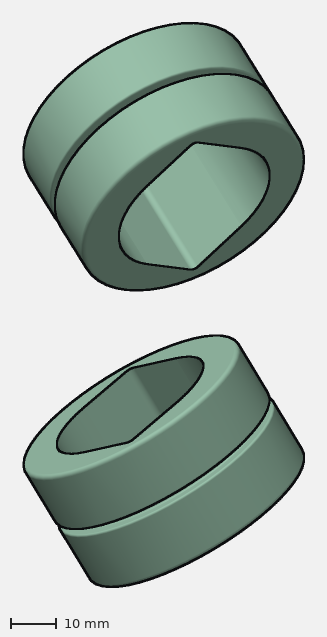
import cadquery as cq
import math

outer_diameter = 54.5
outer_radius = outer_diameter / 2
ring_length = 30.0
end_rounding = 1.0

groove_width = 1.5
groove_depth = 3.0
groove_rounding = 0.5

bore_radius = 18.5
flank_slope = 38.6
corner_radius = 1.45


def make_ring():
    """Plain round body with rounded outer end edges."""
    body = cq.Workplane("YZ").circle(outer_radius).extrude(ring_length / 2, both=True)
    return body.edges().fillet(end_rounding)


def make_groove_cutter():
    """Revolved groove with rounded lips and rounded floor corners."""
    half_width = groove_width / 2
    floor_radius = outer_radius - groove_depth
    lip_half_width = half_width + groove_rounding
    floor_half_width = half_width - groove_rounding
    arc_offset = groove_rounding * (1 - math.sqrt(0.5))
    clearance_radius = outer_radius + 0.55

    profile = (
        cq.Workplane("XY")
        .moveTo(-lip_half_width, clearance_radius)
        .lineTo(-lip_half_width, outer_radius)
        .threePointArc(
            (-half_width - arc_offset, outer_radius - arc_offset),
            (-half_width, outer_radius - groove_rounding),
        )
        .lineTo(-half_width, floor_radius + groove_rounding)
        .threePointArc(
            (-half_width + arc_offset, floor_radius + arc_offset),
            (-floor_half_width, floor_radius),
        )
        .lineTo(floor_half_width, floor_radius)
        .threePointArc(
            (half_width - arc_offset, floor_radius + arc_offset),
            (half_width, floor_radius + groove_rounding),
        )
        .lineTo(half_width, outer_radius - groove_rounding)
        .threePointArc(
            (half_width + arc_offset, outer_radius - arc_offset),
            (lip_half_width, outer_radius),
        )
        .lineTo(lip_half_width, clearance_radius)
        .close()
    )
    return profile.revolve(360, (0, 0, 0), (1, 0, 0))


def make_bore_cutter():
    """Through bore whose flat flanks run tangent to the circle and corner arcs."""
    slope = math.radians(flank_slope)
    tangent_y = bore_radius * math.sin(slope)
    tangent_z = bore_radius * math.cos(slope)
    corner_center_z = (bore_radius - corner_radius) / math.cos(slope)
    corner_y = corner_radius * math.sin(slope)
    corner_z = corner_center_z + corner_radius * math.cos(slope)
    tip_z = corner_center_z + corner_radius

    profile = (
        cq.Workplane("YZ")
        .moveTo(tangent_y, -tangent_z)
        .threePointArc((bore_radius, 0), (tangent_y, tangent_z))
        .lineTo(corner_y, corner_z)
        .threePointArc((0, tip_z), (-corner_y, corner_z))
        .lineTo(-tangent_y, tangent_z)
        .threePointArc((-bore_radius, 0), (-tangent_y, -tangent_z))
        .lineTo(-corner_y, -corner_z)
        .threePointArc((0, -tip_z), (corner_y, -corner_z))
        .close()
    )
    return profile.extrude(ring_length, both=True)


result = make_ring().cut(make_groove_cutter()).cut(make_bore_cutter())